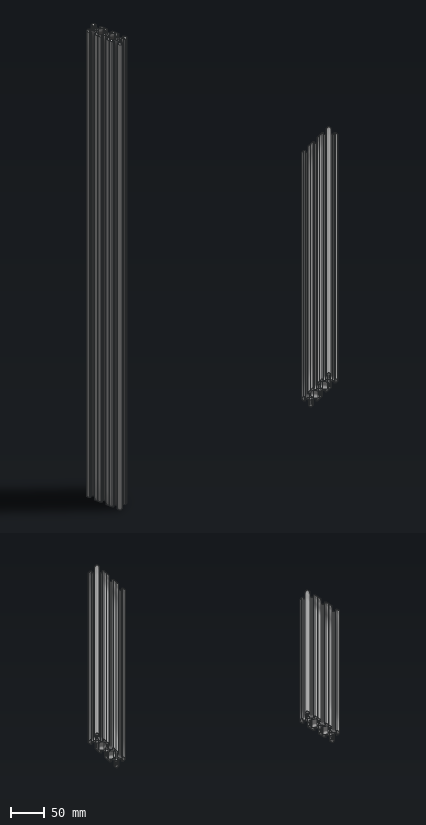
import cadquery as cq
import math

length = 1000.0
cell = 20.0
cell_count = 3
half_cell = cell / 2
corner_radius = 1.5

mouth_width = 9.4
neck_width = 6.4
lip_thickness = 2.2
pocket_width = 11.0
slot_depth = 5.7
floor_groove_depth = 0.5

web_thickness = 1.9
web_offset = web_thickness / math.sqrt(2)

bore_diameter = 4.2

chamber_width = 12.4
chamber_height = 15.0
joint_groove_width = 0.6
joint_groove_depth = joint_groove_width / 2

cell_centers = [(i - (cell_count - 1) / 2) * cell for i in range(cell_count)]
joint_centers = [x + half_cell for x in cell_centers[:-1]]


def extrude_outline(points):
    """Extrude a closed straight-sided outline over the full length."""
    return cq.Workplane("XY").polyline(points).close().extrude(length)


def mirror_in_x(points):
    """Mirror outline points to the other side of the Y axis, in reverse order."""
    return [(-x, y) for x, y in reversed(points)]


def make_blank():
    """Solid bar with rounded long corners."""
    blank = cq.Workplane("XY").rect(cell_count * cell, cell).extrude(length)
    return blank.edges("|Z").fillet(corner_radius)


def make_slot():
    """V-mouthed slot opening toward +Y, with a shallow center groove in its floor."""
    lip_inside = half_cell - lip_thickness
    bevel_depth = (mouth_width - neck_width) / 2
    floor = half_cell - slot_depth
    right_side = [
        (mouth_width / 2, half_cell),
        (neck_width / 2, half_cell - bevel_depth),
        (neck_width / 2, lip_inside),
        (pocket_width / 2, lip_inside),
        (pocket_width / 2, pocket_width / 2 + web_offset),
        (floor - web_offset, floor),
    ]
    groove_bottom = [(0, floor - floor_groove_depth)]
    return extrude_outline(right_side + groove_bottom + mirror_in_x(right_side))


def make_chamber():
    """Eight-sided hollow between two cores, flanked by the diagonal webs."""
    roof = chamber_height / 2
    roof_half_width = half_cell - roof - web_offset
    waist = chamber_width / 2
    waist_half_height = half_cell - waist - web_offset
    right_side = [
        (roof_half_width, roof),
        (waist, waist_half_height),
        (waist, -waist_half_height),
        (roof_half_width, -roof),
    ]
    return extrude_outline(right_side + mirror_in_x(right_side))


def make_joint_groove():
    """Small V groove in the +Y face."""
    return extrude_outline([
        (-joint_groove_width / 2, half_cell),
        (joint_groove_width / 2, half_cell),
        (0, half_cell - joint_groove_depth),
    ])


def turned(tool, angle, x):
    """Turn a cutting tool about the Z axis, then shift it along X."""
    return tool.rotate((0, 0, 0), (0, 0, 1), angle).translate((x, 0, 0))


result = make_blank()

slot = make_slot()
for center in cell_centers:
    for angle in (0, 180):
        result = result.cut(turned(slot, angle, center))
result = result.cut(turned(slot, 90, cell_centers[0]))
result = result.cut(turned(slot, -90, cell_centers[-1]))

chamber = make_chamber()
joint_groove = make_joint_groove()
for joint in joint_centers:
    result = result.cut(chamber.translate((joint, 0, 0)))
    for angle in (0, 180):
        result = result.cut(turned(joint_groove, angle, joint))

bore_centers = cq.Workplane("XY").pushPoints([(x, 0) for x in cell_centers])
result = result.cut(bore_centers.circle(bore_diameter / 2).extrude(length))